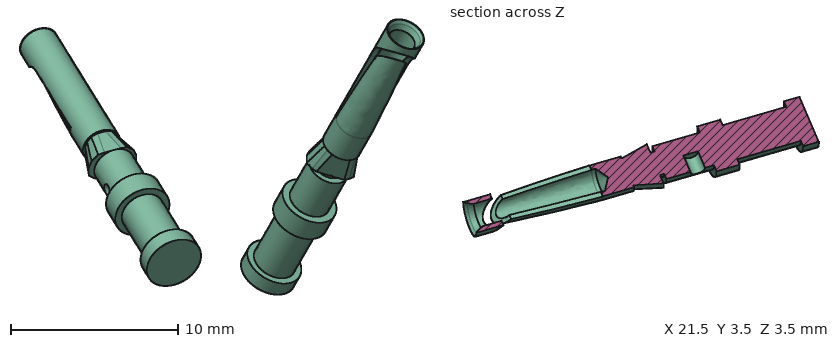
import cadquery as cq

length = 21.5
sleeve_end = 10.0
flare_end = 11.75
neck_end = 12.0
body_end = 15.0
collar_end = 16.5
flange_start = 20.5

sleeve_radius = 1.2
neck_radius = 0.88
body_radius = 1.28
rim_radius = 1.752
barrel_radius = 1.33

flare_start_corners = [
    (0.25, 1.05), (0.67, 0.92), (0.92, 0.58), (1.05, 0.24), (1.05, -0.4), (0.88, -0.67), (0.55, -0.95),
]
flare_end_corners = [
    (0.54, 1.05), (0.92, 1.0), (1.35, 0.65), (1.53, 0.2), (1.53, -0.45), (1.18, -0.77), (0.9, -0.95),
]

bore_radius = 0.84
mouth_radius = 1.16
lead_in_radius = 1.0
lead_in_depth = 0.183
mouth_depth = 0.55
bore_depth = 8.25
bore_cone_depth = 0.5

slot_end = 8.0
slot_top = 0.24
finger_tip_x = 1.38
finger_top_x = 2.3
finger_tip_radius = 0.85
finger_tip_bore = 0.55
finger_bend_x = 4.3
finger_bend_radius = 1.05
finger_bend_bore = 0.7

scoop_bottom_x = 0.54
scoop_arc_x = 1.35
scoop_arc_z = -0.35
scoop_arc_mid = (1.83, 0.06)
scoop_end_x = 2.65

hole_x = 14.0
hole_radius = 0.45


def rod(start, end, radius):
    """Solid cylinder along X."""
    return cq.Workplane("YZ").workplane(offset=start).circle(radius).extrude(end - start)


def revolve_about_x(points):
    """Turn an (x, radius) outline around the X axis."""
    return cq.Workplane("XY").polyline(points).close().revolve(360, (0, 0, 0), (1, 0, 0))


def mirrored(corners):
    """Close a half outline with its mirror image across the XZ plane."""
    return corners + [(-y, z) for y, z in reversed(corners)]


def make_flare():
    """Flat facets joining the narrow and the wide end outlines."""
    return (
        cq.Workplane("YZ", origin=(sleeve_end, 0, 0))
        .polyline(mirrored(flare_start_corners))
        .close()
        .workplane(offset=flare_end - sleeve_end)
        .polyline(mirrored(flare_end_corners))
        .close()
        .loft(ruled=True)
    )


def make_socket_bore():
    """Mouth with two tapers, straight bore and conical bottom."""
    return revolve_about_x([
        (0, 0),
        (0, mouth_radius),
        (lead_in_depth, lead_in_radius),
        (mouth_depth, bore_radius),
        (bore_depth, bore_radius),
        (bore_depth + bore_cone_depth, 0),
    ])


def make_scoop():
    """Slot through the lower half, opening forward in a curved, sloping edge."""
    below = -rim_radius
    return (
        cq.Workplane("XZ")
        .moveTo(scoop_bottom_x, below)
        .lineTo(scoop_bottom_x, -sleeve_radius)
        .lineTo(scoop_arc_x, scoop_arc_z)
        .threePointArc(scoop_arc_mid, (scoop_end_x, slot_top))
        .lineTo(slot_end, slot_top)
        .lineTo(slot_end, below)
        .close()
        .extrude(rim_radius, both=True)
    )


def make_finger():
    """Lower half of a tube curving inwards, with a sloping tip."""
    tube = (
        cq.Workplane("XY")
        .moveTo(finger_tip_x, finger_tip_bore)
        .lineTo(finger_tip_x, finger_tip_radius)
        .threePointArc((finger_bend_x, finger_bend_radius), (slot_end, sleeve_radius))
        .lineTo(slot_end, bore_radius)
        .threePointArc((finger_bend_x, finger_bend_bore), (finger_tip_x, finger_tip_bore))
        .close()
        .revolve(360, (0, 0, 0), (1, 0, 0))
    )
    side_outline = (
        cq.Workplane("XZ")
        .polyline([
            (finger_tip_x, -rim_radius),
            (finger_tip_x, -finger_tip_radius),
            (finger_top_x, 0),
            (slot_end, 0),
            (slot_end, -rim_radius),
        ])
        .close()
        .extrude(rim_radius, both=True)
    )
    return tube.intersect(side_outline)


sleeve = rod(0, sleeve_end, sleeve_radius).cut(make_scoop())
inspection_hole = (
    cq.Workplane("XZ").center(hole_x, 0).circle(hole_radius).extrude(rim_radius)
)

result = (
    sleeve
    .union(make_flare())
    .union(rod(flare_end, neck_end, neck_radius))
    .union(rod(neck_end, body_end, body_radius))
    .union(rod(body_end, collar_end, rim_radius))
    .union(rod(collar_end, flange_start, barrel_radius))
    .union(rod(flange_start, length, rim_radius))
    .cut(make_socket_bore())
    .union(make_finger())
    .cut(inspection_hole)
)